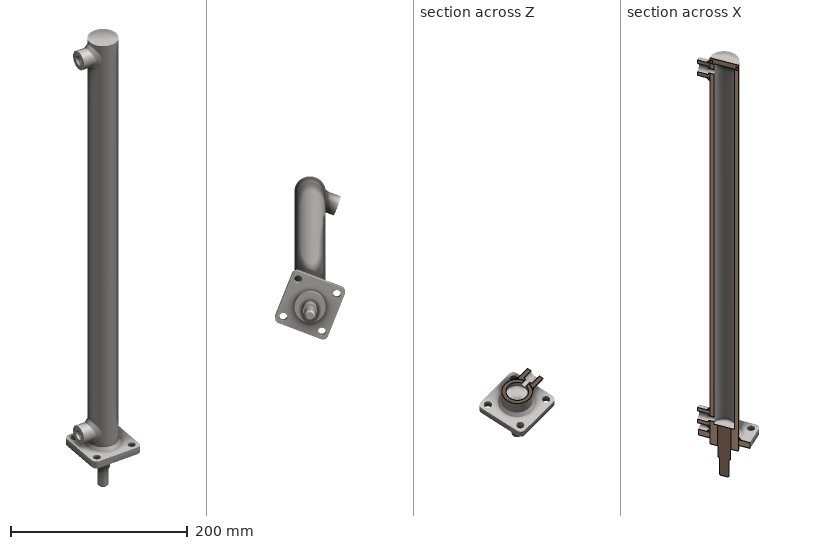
import cadquery as cq

TOTAL_LENGTH = 608.0

TUBE_DIAMETER = 35.0
BORE_DIAMETER = 25.0
TUBE_BOTTOM = 42.0
HEAD_TOP = 73.0

CAP_THICKNESS = 4.0
CAP_WELD_HEIGHT = 3.5
CAP_WELD_DEPTH = 3.0

FLANGE_SIZE = 64.0
FLANGE_BOTTOM = 50.5
FLANGE_THICKNESS = 9.0
FLANGE_CORNER_RADIUS = 6.0
FLANGE_HOLE_DIAMETER = 9.0
FLANGE_HOLE_SPACING = 47.0
FLANGE_WELD_LEG = 3.5

ROD_DIAMETER = 16.0
ROD_END_DIAMETER = 12.0
ROD_STEP_HEIGHT = 25.5
ROD_TIP_CHAMFER = 2.0

PORT_DIAMETER = 23.0
PORT_REACH = 33.0
PORT_THREAD_DIAMETER = 11.5
PORT_THREAD_DEPTH = 13.5
PORT_PASSAGE_DIAMETER = 6.0
PORT_WELD_LEG = 3.5
PORT_HEIGHTS = (79.5, 588.5)

tube_radius = TUBE_DIAMETER / 2
cap_bottom = TOTAL_LENGTH - CAP_THICKNESS
tube_top = cap_bottom - CAP_WELD_HEIGHT
flange_top = FLANGE_BOTTOM + FLANGE_THICKNESS


def cylinder(diameter, bottom, top):
    """Upright solid cylinder on the Z axis."""
    return cq.Workplane("XY", origin=(0, 0, bottom)).circle(diameter / 2).extrude(top - bottom)


def port_cylinder(diameter, height, inner_reach, outer_reach):
    """Solid cylinder along -Y between two distances from the tube axis."""
    return (
        cq.Workplane("XZ", origin=(0, -inner_reach, height))
        .circle(diameter / 2)
        .extrude(outer_reach - inner_reach)
    )


def make_tube():
    tube = cylinder(TUBE_DIAMETER, TUBE_BOTTOM, tube_top)
    tube = tube.cut(cylinder(BORE_DIAMETER, HEAD_TOP, tube_top))
    tube = tube.cut(cylinder(ROD_DIAMETER, TUBE_BOTTOM, HEAD_TOP))
    for height in PORT_HEIGHTS:
        tube = tube.cut(port_cylinder(PORT_PASSAGE_DIAMETER, height, 0, tube_radius))
    return tube


def make_cap():
    """Flat disc with a smaller neck that closes the tube."""
    cap = cylinder(TUBE_DIAMETER, cap_bottom, TOTAL_LENGTH)
    return cap.union(cylinder(TUBE_DIAMETER - 2 * CAP_WELD_DEPTH, tube_top, cap_bottom))


def make_cap_weld():
    """Ring that fills the groove between cap and tube."""
    ring = cylinder(TUBE_DIAMETER, tube_top, cap_bottom)
    return ring.cut(cylinder(TUBE_DIAMETER - 2 * CAP_WELD_DEPTH, tube_top, cap_bottom))


def make_flange():
    return (
        cq.Workplane("XY", origin=(0, 0, FLANGE_BOTTOM))
        .rect(FLANGE_SIZE, FLANGE_SIZE)
        .extrude(FLANGE_THICKNESS)
        .edges("|Z")
        .fillet(FLANGE_CORNER_RADIUS)
        .cut(cylinder(TUBE_DIAMETER, FLANGE_BOTTOM, flange_top))
        .faces(">Z")
        .workplane(origin=(0, 0, flange_top))
        .rect(FLANGE_HOLE_SPACING, FLANGE_HOLE_SPACING, forConstruction=True)
        .vertices()
        .hole(FLANGE_HOLE_DIAMETER)
    )


def make_flange_weld():
    """Triangular weld bead around the tube on top of the flange."""
    return (
        cq.Workplane("XZ")
        .moveTo(tube_radius, flange_top)
        .lineTo(tube_radius + FLANGE_WELD_LEG, flange_top)
        .lineTo(tube_radius, flange_top + FLANGE_WELD_LEG)
        .close()
        .revolve(360, (0, 0, 0), (0, 1, 0))
    )


def make_rod():
    """Stepped rod that ends at the start of the bore."""
    rod_end = cylinder(ROD_END_DIAMETER, 0, ROD_STEP_HEIGHT).faces("<Z").chamfer(ROD_TIP_CHAMFER)
    return rod_end.union(cylinder(ROD_DIAMETER, ROD_STEP_HEIGHT, HEAD_TOP))


def make_port(height):
    """Threaded boss that sits on the tube wall."""
    port = port_cylinder(PORT_DIAMETER, height, 0, PORT_REACH)
    port = port.cut(cylinder(TUBE_DIAMETER, TUBE_BOTTOM, TOTAL_LENGTH))
    port = port.cut(
        port_cylinder(PORT_THREAD_DIAMETER, height, PORT_REACH - PORT_THREAD_DEPTH, PORT_REACH)
    )
    return port.cut(port_cylinder(PORT_PASSAGE_DIAMETER, height, 0, PORT_REACH))


def make_port_weld(height):
    """Bevelled bead that follows the curved seam between port and tube."""
    wall = cylinder(TUBE_DIAMETER, height - PORT_DIAMETER, height + PORT_DIAMETER)
    boss = port_cylinder(PORT_DIAMETER, height, 0, PORT_REACH)
    joined = wall.union(boss)
    seam_edges = [
        edge
        for edge in joined.edges().vals()
        if edge.geomType() not in ("LINE", "CIRCLE")
    ]
    beaded = joined.newObject(seam_edges).chamfer(PORT_WELD_LEG)
    return beaded.cut(wall).cut(boss)


tube = make_tube()
cap = make_cap()
cap_weld = make_cap_weld()
flange = make_flange()
flange_weld = make_flange_weld()
rod = make_rod()
ports = [make_port(height) for height in PORT_HEIGHTS]
port_welds = [make_port_weld(height) for height in PORT_HEIGHTS]

result = cq.Compound.makeCompound(
    [
        tube.val(),
        cap.val(),
        cap_weld.val(),
        flange.val(),
        flange_weld.val(),
        rod.val(),
        *[port.val() for port in ports],
        *[weld.val() for weld in port_welds],
    ]
)